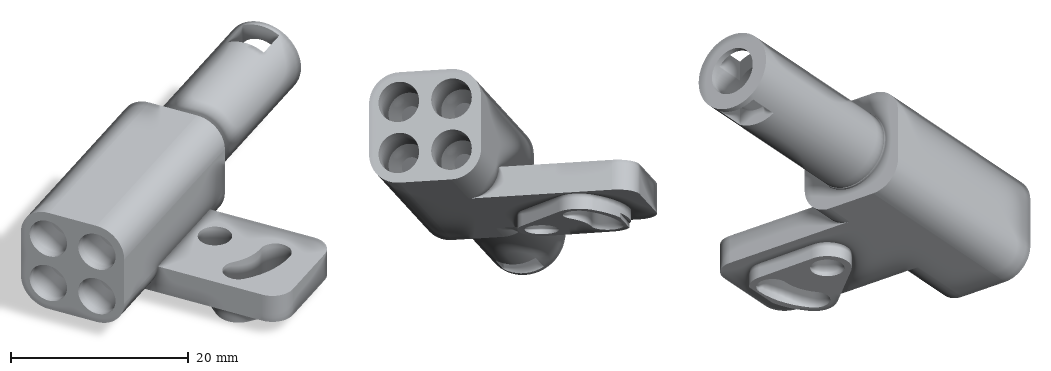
import cadquery as cq
import math

BODY_WIDTH = 13.0
BODY_HEIGHT = 12.9
BODY_LENGTH = 25.5
BODY_CORNER_RADIUS = 3.5
BODY_BOTTOM = -BODY_HEIGHT / 2

SOCKET_DIAMETER = 4.7
SOCKET_FLOOR_DIAMETER = 2.25
SOCKET_BORE_DEPTH = 4.85
SOCKET_TAPER_DEPTH = 1.25
SOCKET_PITCH_X = 6.1
SOCKET_PITCH_Z = 5.95

TOTAL_LENGTH = 48.45
TUBE_DIAMETER = 9.35
TUBE_WALL = 1.85
TUBE_BORE_DIAMETER = TUBE_DIAMETER - 2 * TUBE_WALL
TUBE_LENGTH = TOTAL_LENGTH - BODY_LENGTH
COLLAR_LENGTH = 0.3
COLLAR_STEP = 0.1
COLLAR_DIAMETER = TUBE_DIAMETER + 2 * COLLAR_STEP

WINDOW_WIDTH = 4.65
WINDOW_LENGTH = 3.95
WINDOW_END_MARGIN = 0.78

TOTAL_WIDTH = 28.7
PLATE_END_X = TOTAL_WIDTH - BODY_WIDTH / 2
PLATE_FRONT_Y = 8.55
PLATE_DEPTH = 13.2
PLATE_THICKNESS = 3.5
PLATE_CORNER_RADIUS = 2.55

PIVOT_X = 9.45
PIVOT_Y = 17.0
PIVOT_RADIUS = 1.95
SLOT_PATH_RADIUS = 7.6
SLOT_HALF_WIDTH = 1.85
SLOT_SWEEP = 43.0

BOSS_HEIGHT = 1.8
BOSS_MARGIN = 0.8

STEP_WIDTH = 0.5
STEP_HEIGHT = 0.55


def rod(diameter, start_y, length):
    """Cylinder on the Y axis."""
    return cq.Workplane("XZ", origin=(0, start_y, 0)).circle(diameter / 2).extrude(-length)


def make_body():
    block = cq.Workplane("XZ").rect(BODY_WIDTH, BODY_HEIGHT).extrude(-BODY_LENGTH)
    return block.edges("|Y").fillet(BODY_CORNER_RADIUS)


def make_sockets():
    """Four blind bores, each tapering to a smaller flat floor."""
    floor_y = SOCKET_BORE_DEPTH + SOCKET_TAPER_DEPTH
    half_profile = [
        (0, 0),
        (SOCKET_DIAMETER / 2, 0),
        (SOCKET_DIAMETER / 2, SOCKET_BORE_DEPTH),
        (SOCKET_FLOOR_DIAMETER / 2, floor_y),
        (0, floor_y),
    ]
    socket = cq.Workplane("XY").polyline(half_profile).close().revolve(360, (0, 0), (0, 1))
    sockets = cq.Workplane("XY")
    for x in (-SOCKET_PITCH_X / 2, SOCKET_PITCH_X / 2):
        for z in (-SOCKET_PITCH_Z / 2, SOCKET_PITCH_Z / 2):
            sockets = sockets.union(socket.translate((x, 0, z)))
    return sockets


def make_tube():
    tube = rod(TUBE_DIAMETER, BODY_LENGTH, TUBE_LENGTH)
    tube = tube.union(rod(COLLAR_DIAMETER, BODY_LENGTH, COLLAR_LENGTH))
    tube = tube.cut(rod(TUBE_BORE_DIAMETER, BODY_LENGTH, TUBE_LENGTH))
    window_y = TOTAL_LENGTH - WINDOW_END_MARGIN - WINDOW_LENGTH / 2
    window = cq.Workplane("XY").box(WINDOW_WIDTH, WINDOW_LENGTH, TUBE_DIAMETER)
    return tube.cut(window.translate((0, window_y, 0)))


def make_plate():
    """Plate starting inside the body, rounded at its two free corners."""
    plate = (
        cq.Workplane("XY", origin=(0, PLATE_FRONT_Y, BODY_BOTTOM))
        .rect(PLATE_END_X, PLATE_DEPTH, centered=False)
        .extrude(PLATE_THICKNESS)
    )
    return plate.edges("|Z and >X").fillet(PLATE_CORNER_RADIUS)


def around_pivot(radius, degrees):
    """Point at a radius from the pivot, measured clockwise from +X."""
    angle = math.radians(-degrees)
    return (PIVOT_X + radius * math.cos(angle), PIVOT_Y + radius * math.sin(angle))


def slot_outline(plane, half_width):
    """Round-ended slot bent around the pivot."""
    inner = SLOT_PATH_RADIUS - half_width
    outer = SLOT_PATH_RADIUS + half_width
    end_bulge = math.degrees(half_width / SLOT_PATH_RADIUS)
    middle = SLOT_SWEEP / 2
    return (
        plane.moveTo(*around_pivot(inner, 0))
        .threePointArc(around_pivot(SLOT_PATH_RADIUS, -end_bulge), around_pivot(outer, 0))
        .threePointArc(around_pivot(outer, middle), around_pivot(outer, SLOT_SWEEP))
        .threePointArc(
            around_pivot(SLOT_PATH_RADIUS, SLOT_SWEEP + end_bulge), around_pivot(inner, SLOT_SWEEP)
        )
        .threePointArc(around_pivot(inner, middle), around_pivot(inner, 0))
        .close()
    )


def make_boss():
    """Pivot ring and slot rim joined by a solid fan with tangent sides."""
    pivot_radius = PIVOT_RADIUS + BOSS_MARGIN
    rim = SLOT_HALF_WIDTH + BOSS_MARGIN
    lean = math.degrees(math.asin((pivot_radius - rim) / SLOT_PATH_RADIUS))

    def tangent_points(slot_angle, side):
        """Where the straight side touches the pivot ring and the slot end."""
        normal = slot_angle + side * (90 - lean)
        start = around_pivot(pivot_radius, normal)
        centre = around_pivot(SLOT_PATH_RADIUS, slot_angle)
        offset = around_pivot(rim, normal)
        end = (centre[0] + offset[0] - PIVOT_X, centre[1] + offset[1] - PIVOT_Y)
        return start, end

    upper_start, upper_end = tangent_points(0, -1)
    lower_start, lower_end = tangent_points(SLOT_SWEEP, 1)

    def base():
        return cq.Workplane("XY", origin=(0, 0, BODY_BOTTOM))

    fan_outline = [
        (PIVOT_X, PIVOT_Y),
        upper_start,
        upper_end,
        around_pivot(SLOT_PATH_RADIUS, 0),
        around_pivot(SLOT_PATH_RADIUS, SLOT_SWEEP),
        lower_end,
        lower_start,
    ]
    fan = base().polyline(fan_outline).close().extrude(-BOSS_HEIGHT)
    ring = base().center(PIVOT_X, PIVOT_Y).circle(pivot_radius).extrude(-BOSS_HEIGHT)
    slot_rim = slot_outline(base(), rim).extrude(-BOSS_HEIGHT)
    return fan.union(ring).union(slot_rim).cut(make_boss_step())


def make_boss_step():
    """Block that removes the lower outer edge of the boss."""
    step_x = PIVOT_X + SLOT_PATH_RADIUS + SLOT_HALF_WIDTH + BOSS_MARGIN - STEP_WIDTH
    return (
        cq.Workplane("XY", origin=(step_x, PLATE_FRONT_Y, BODY_BOTTOM - BOSS_HEIGHT))
        .rect(STEP_WIDTH, PLATE_DEPTH, centered=False)
        .extrude(STEP_HEIGHT)
    )


def make_plate_openings():
    """Pivot hole and slot, cutting through both plate and boss."""
    depth = PLATE_THICKNESS + BOSS_HEIGHT
    base = cq.Workplane("XY", origin=(0, 0, BODY_BOTTOM - BOSS_HEIGHT))
    hole = base.center(PIVOT_X, PIVOT_Y).circle(PIVOT_RADIUS).extrude(depth)
    return hole.union(slot_outline(base, SLOT_HALF_WIDTH).extrude(depth))


result = (
    make_body()
    .cut(make_sockets())
    .union(make_tube())
    .union(make_plate())
    .union(make_boss())
    .cut(make_plate_openings())
)